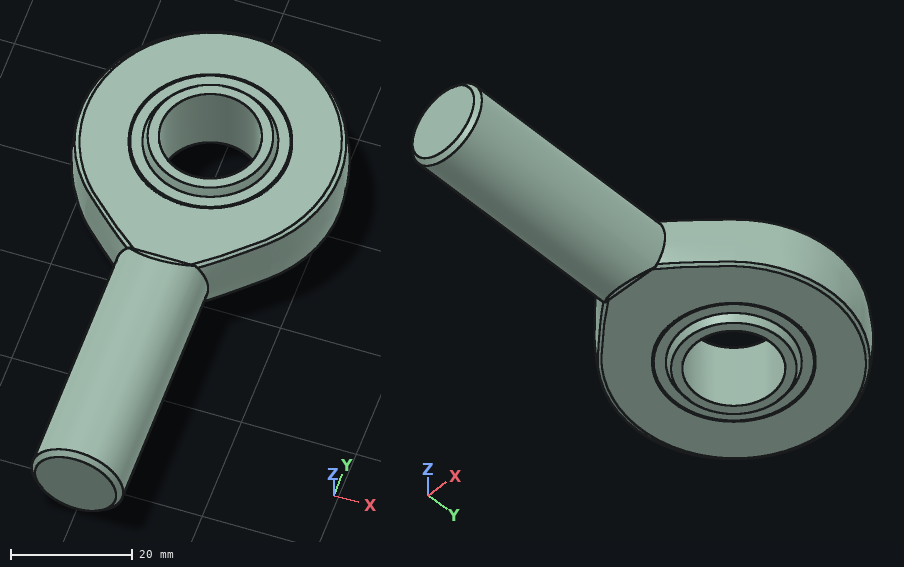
import cadquery as cq
import math


eye_diameter = 46.0
eye_radius = eye_diameter / 2
overall_length = 91.8
eye_half_height = 5.5
rim_chamfer = 0.5
shank_radius = 8.0
shank_end_y = eye_radius - overall_length
shank_end_chamfer = 0.9
neck_end_y = shank_radius - math.sqrt(2) * eye_radius

race_radius = 13.5
race_chamfer = 0.3
ball_radius = 12.5
ball_half_height = 7.0
ball_bore_diameter = 17.0


def make_eye():
    """Sphere with a tangent 45 degree cone as its neck, cut flat on both faces."""
    tangent_offset = eye_radius / math.sqrt(2)
    body = (
        cq.Workplane("XY")
        .moveTo(0, eye_radius)
        .threePointArc((eye_radius, 0), (tangent_offset, -tangent_offset))
        .lineTo(shank_radius, neck_end_y)
        .lineTo(0, neck_end_y)
        .close()
        .revolve(360, (0, 0, 0), (0, 1, 0))
    )
    slab_length = 4 * eye_radius
    slab = cq.Workplane("XY").box(slab_length, slab_length, 2 * eye_half_height)
    eye = body.intersect(slab)
    for face in (">Z", "<Z"):
        eye = chamfer_rim(eye, face)
    return eye


def chamfer_rim(eye, face):
    """Chamfer the rim of one flat face, leaving the straight edge at the shank sharp."""
    flat = eye.faces(face)
    rim_edges = flat.edges("not <Y").vals()
    chamfered = eye.val().chamfer(rim_chamfer, None, rim_edges)
    return cq.Workplane(chamfered)


def make_shank():
    """Round shank whose inner end is bevelled at 45 degrees down to both eye faces."""
    shank = (
        cq.Workplane("XZ", origin=(0, neck_end_y, 0))
        .circle(shank_radius)
        .extrude(neck_end_y - shank_end_y)
        .faces("<Y")
        .chamfer(shank_end_chamfer)
    )
    bevel_rise = shank_radius - eye_half_height
    bevel = (
        cq.Workplane("YZ")
        .moveTo(neck_end_y, eye_half_height)
        .lineTo(neck_end_y, shank_radius)
        .lineTo(neck_end_y - bevel_rise, shank_radius)
        .close()
        .extrude(shank_radius, both=True)
    )
    return shank.cut(bevel).cut(bevel.mirror("XY"))


def make_housing():
    """Eye and shank in one piece, with a through seat for the race."""
    race_seat = cq.Workplane("XY").circle(race_radius).extrude(eye_half_height, both=True)
    return make_eye().union(make_shank()).cut(race_seat)


def make_race():
    """Bearing ring, flush with the eye faces, with a spherical inner surface."""
    ring = (
        cq.Workplane("XY")
        .circle(race_radius)
        .extrude(eye_half_height, both=True)
        .faces("<Z or >Z")
        .edges()
        .chamfer(race_chamfer)
    )
    return ring.cut(cq.Workplane("XY").sphere(ball_radius))


def make_ball():
    """Sphere cut flat at both ends and bored through."""
    slab = cq.Workplane("XY").circle(ball_radius).circle(ball_bore_diameter / 2).extrude(
        ball_half_height, both=True
    )
    return cq.Workplane("XY").sphere(ball_radius).intersect(slab)


housing = make_housing()
race = make_race()
ball = make_ball()

result = cq.Compound.makeCompound([body.solids().val() for body in (housing, race, ball)])